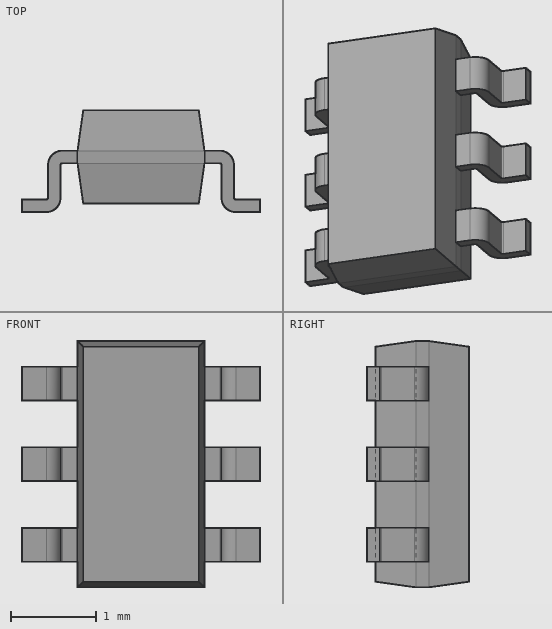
import cadquery as cq

housing_width = 1.495
housing_length = 2.9
housing_thickness = 1.1
draft_angle = 8.0
standoff = 0.1

lead_span = 2.8
lead_thickness = 0.15
lead_width = 0.4
lead_pitch = 0.948
leads_per_side = 3
shank_outer_offset = 1.095
inner_bend_radius = 0.02

band_height = lead_thickness
taper_height = (housing_thickness - band_height) / 2
band_bottom = standoff + taper_height
band_top = band_bottom + band_height


def housing_block(y, height, direction, taper=0.0):
    """Block with the housing's outline on the plane at y, extruded along +Y (1) or -Y (-1)."""
    base = cq.Plane(origin=(0, y, 0), xDir=(1, 0, 0), normal=(0, direction, 0))
    return cq.Workplane(base).rect(housing_width, housing_length).extrude(height, taper=taper)


def make_housing():
    """Straight band with a tapered half on each side of it."""
    band = housing_block(band_bottom, band_height, 1)
    upper_half = housing_block(band_top, taper_height, 1, draft_angle)
    lower_half = housing_block(band_bottom, taper_height, -1, draft_angle)
    return band.union(upper_half).union(lower_half)


def lead_centreline(side):
    """Bent path from the housing side out, down the shank and along the foot."""
    shank_x = side * (shank_outer_offset - lead_thickness / 2)
    shoulder_y = band_top - lead_thickness / 2
    foot_y = lead_thickness / 2
    bend_radius = inner_bend_radius + lead_thickness / 2
    return (
        cq.Workplane("XY")
        .moveTo(side * housing_width / 2, shoulder_y)
        .lineTo(shank_x - side * bend_radius, shoulder_y)
        .tangentArcPoint((shank_x, shoulder_y - bend_radius), relative=False)
        .lineTo(shank_x, foot_y + bend_radius)
        .tangentArcPoint((shank_x + side * bend_radius, foot_y), relative=False)
        .lineTo(side * lead_span / 2, foot_y)
    )


def make_lead(side, z):
    """One lead on the +X (side = 1) or -X (side = -1) side, centred at height z."""
    start = (side * housing_width / 2, band_bottom + lead_thickness / 2, 0)
    section_plane = cq.Plane(origin=start, xDir=(0, 1, 0), normal=(side, 0, 0))
    section = cq.Workplane(section_plane).rect(lead_thickness, lead_width)
    return section.sweep(lead_centreline(side)).translate((0, 0, z))


housing = make_housing()

leads = []
for side in (-1, 1):
    for index in range(leads_per_side):
        z = (index - (leads_per_side - 1) / 2) * lead_pitch
        leads.append(make_lead(side, z))

result = cq.Compound.makeCompound([housing.val(), *[lead.val() for lead in leads]])